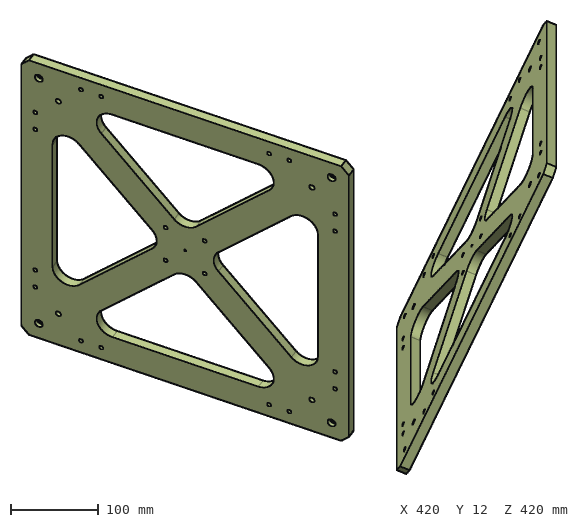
import cadquery as cq
import math

side = 420.0
thickness = 12.0
corner_chamfer = 10.0
half_side = side / 2

rim_width = 40.0
bar_width = 40.0
window_radius = 20.0

pilot_diameter = 2.5
hub_hole_diameter = 5.0
hub_hole_offset = 25.0
edge_hole_diameter = 5.0
edge_hole_inset = 18.0
edge_hole_offsets = (107.5, 133.5)
locating_hole_diameter = 6.6
locating_hole_offset = 162.5
screw_hole_diameter = 5.5
screw_head_diameter = 10.0
screw_head_depth = 5.5
screw_hole_offset = 187.5


def front_sketch():
    """Workplane on the front face, with local axes along X and Z."""
    return cq.Workplane("XZ", origin=(0, -thickness / 2, 0))


def square_points(offset):
    """Corners of a centred square, each at the given distance along X and Z."""
    return [(x, z) for x in (-offset, offset) for z in (-offset, offset)]


def edge_points():
    """Pairs of points close to the ends of all four sides."""
    row = half_side - edge_hole_inset
    points = []
    for along in edge_hole_offsets:
        for sign in (-1, 1):
            for row_position in (-row, row):
                points.append((sign * along, row_position))
                points.append((row_position, sign * along))
    return points


def cylinders(points, diameter, depth):
    """Cylinders that run from the front face into the plate."""
    return front_sketch().pushPoints(points).circle(diameter / 2).extrude(-depth)


def make_plate():
    plate = cq.Workplane("XY").box(side, thickness, side)
    return plate.edges("|Y").chamfer(corner_chamfer)


def make_window():
    """Upper triangular window: flat along the rim, its apex towards the centre."""
    outer = half_side - rim_width
    apex = bar_width / math.sqrt(2)
    half_base = outer - apex
    outline = [(0, apex), (half_base, outer), (-half_base, outer)]
    window = front_sketch().polyline(outline).close().extrude(-thickness)
    return window.edges("|Y").fillet(window_radius)


result = make_plate()

window = make_window()
for quarter in range(4):
    result = result.cut(window.rotate((0, 0, 0), (0, 1, 0), 90 * quarter))

result = result.cut(cylinders([(0, 0)], pilot_diameter, thickness))
result = result.cut(cylinders(square_points(hub_hole_offset), hub_hole_diameter, thickness))
result = result.cut(cylinders(edge_points(), edge_hole_diameter, thickness))
result = result.cut(cylinders(square_points(locating_hole_offset), locating_hole_diameter, thickness))

screw_points = square_points(screw_hole_offset)
result = result.cut(cylinders(screw_points, screw_hole_diameter, thickness))
result = result.cut(cylinders(screw_points, screw_head_diameter, screw_head_depth))